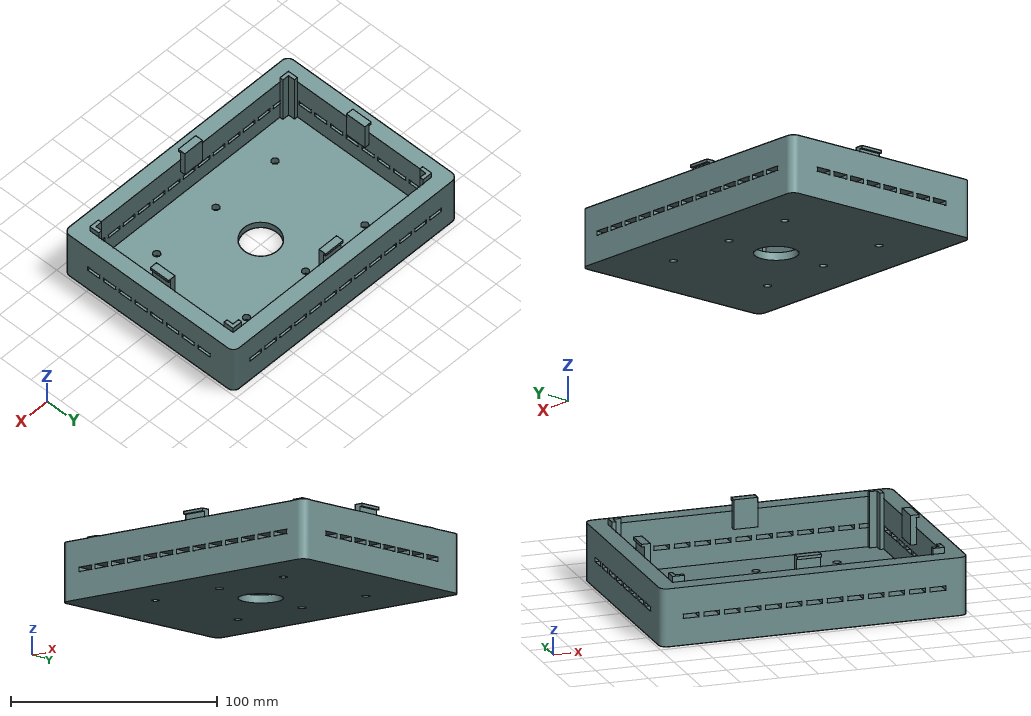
import cadquery as cq

length = 157.0
width = 113.5
box_height = 29.5
wall = 9.0
floor = 4.0
corner_radius = 4.0
cavity_length = length - 2 * wall
cavity_width = width - 2 * wall

cable_hole_diameter = 22.0
screw_hole_diameter = 4.0
screw_spacing_x = 41.5
screw_spacing_y = 60.0

slot_length = 8.0
slot_height = 2.2
slot_pitch = 10.5
slot_center_z = 14.8
slots_per_long_wall = 13
slots_per_short_wall = 8

post_top = 32.5
post_arm = 6.0
post_thickness = 2.0

total_height = 36.1
clip_width = 12.2
clip_thickness = 3.0
clip_length = 15.0
lip_height = 1.4
lip_reach = 1.4


def make_box():
    outer = cq.Workplane("XY").box(length, width, box_height, centered=(True, True, False))
    outer = outer.edges("|Z").fillet(corner_radius)
    cavity = cq.Workplane("XY", origin=(0, 0, floor)).rect(cavity_length, cavity_width).extrude(box_height)
    return outer.cut(cavity)


def floor_holes():
    cable_hole = cq.Workplane("XY").circle(cable_hole_diameter / 2).extrude(floor)
    screw_holes = (
        cq.Workplane("XY")
        .rarray(screw_spacing_x, screw_spacing_y, 3, 2)
        .circle(screw_hole_diameter / 2)
        .extrude(floor)
    )
    return cable_hole.union(screw_holes)


def slot_row(plane, count, span):
    """Row of slots running right through the box and both facing walls."""
    return (
        cq.Workplane(plane, origin=(0, 0, slot_center_z))
        .rarray(slot_pitch, 1.5, count, 1)
        .rect(slot_length, slot_height)
        .extrude(span / 2, both=True)
    )


def corner_post(side_x, side_y):
    """L-shaped post from the floor up, in the cavity corner on the given sides (+1 or -1)."""
    corner_x = side_x * cavity_length / 2
    corner_y = side_y * cavity_width / 2
    return (
        cq.Workplane("XY", origin=(0, 0, floor))
        .moveTo(corner_x, corner_y)
        .line(-side_x * post_arm, 0)
        .line(0, -side_y * post_thickness)
        .line(side_x * (post_arm - post_thickness), 0)
        .line(0, -side_y * (post_arm - post_thickness))
        .line(side_x * post_thickness, 0)
        .close()
        .extrude(post_top - floor)
    )


def clip(wall_distance):
    """Clip on the inner face of the +X wall; the profile lies in XZ."""
    return (
        cq.Workplane("XZ")
        .moveTo(wall_distance, total_height - clip_length)
        .lineTo(wall_distance, total_height - lip_height)
        .line(lip_reach, 0)
        .line(0, lip_height)
        .lineTo(wall_distance - clip_thickness, total_height)
        .line(0, -clip_length)
        .close()
        .extrude(clip_width / 2, both=True)
    )


result = make_box().cut(floor_holes())
result = result.cut(slot_row("XZ", slots_per_long_wall, width))
result = result.cut(slot_row("YZ", slots_per_short_wall, length))

for side_x in (-1, 1):
    for side_y in (-1, 1):
        result = result.union(corner_post(side_x, side_y))

end_clip = clip(cavity_length / 2)
side_clip = clip(cavity_width / 2)
for turn in (0, 180):
    result = result.union(end_clip.rotate((0, 0, 0), (0, 0, 1), turn))
    result = result.union(side_clip.rotate((0, 0, 0), (0, 0, 1), turn + 90))